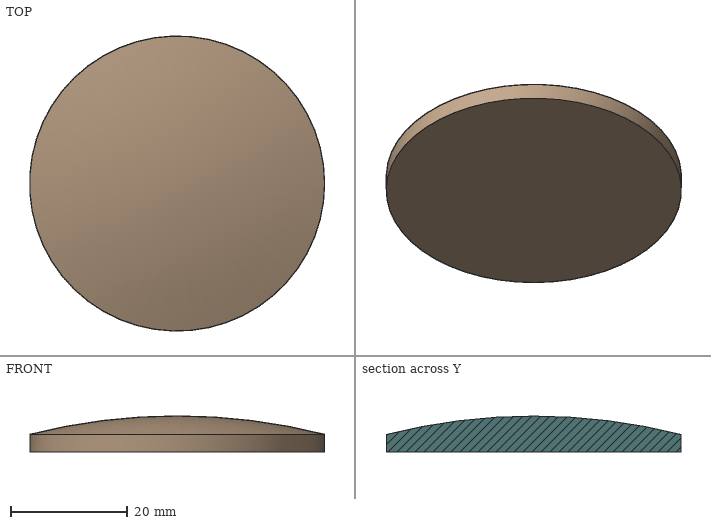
import cadquery as cq

diameter = 50.8
center_thickness = 6.26
surface_radius = 103.0


def lens_blank():
    """Plain disc, just tall enough to contain the dome."""
    return cq.Workplane("XY").circle(diameter / 2).extrude(center_thickness)


def dome_sphere():
    """Full sphere whose highest point is the apex of the dome."""
    sphere_center_z = center_thickness - surface_radius
    return cq.Workplane("XY").sphere(surface_radius).translate((0, 0, sphere_center_z))


result = lens_blank().intersect(dome_sphere())